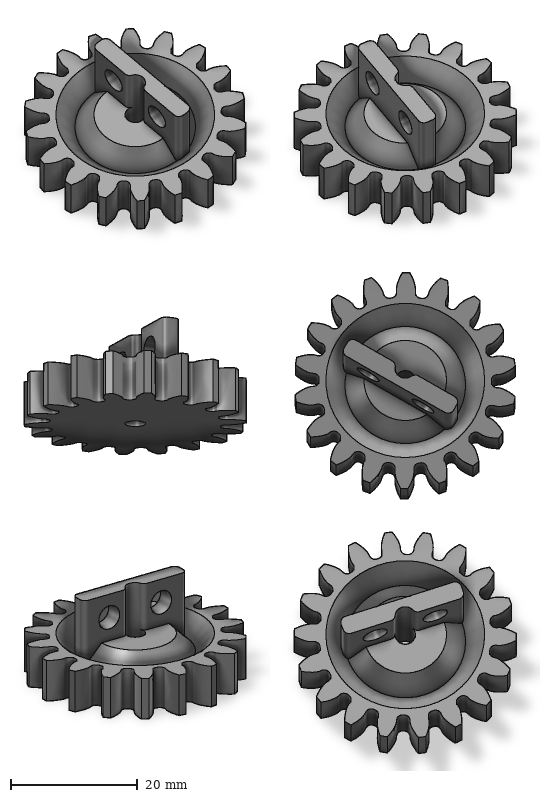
import cadquery as cq
import math

module = 1.75
tooth_count = 18
pressure_angle = math.radians(20)
gear_height = 7.0

pitch_radius = module * tooth_count / 2
addendum = module
dedendum = 1.25 * module
tip_radius = pitch_radius + addendum
root_radius = pitch_radius - dedendum
base_radius = pitch_radius * math.cos(pressure_angle)
root_fillet = 0.95
flank_points = 8

groove_outer_radius = 25.0 / 2
groove_inner_radius = 13.0 / 2
groove_bottom_radius = (groove_outer_radius + groove_inner_radius) / 2
groove_depth = 3.0

plate_length = 20.0
plate_thickness = 3.0
plate_fillet = 1.0
total_height = 15.0

bore_diameter = 3.2
plate_hole_diameter = 4.0
plate_hole_spacing = 10.0
plate_hole_height = (gear_height + total_height) / 2


def polar(radius, angle):
    return (radius * math.cos(angle), radius * math.sin(angle))


def involute(angle):
    return math.tan(angle) - angle


def tooth_half_angle(radius):
    """Half of the angle one tooth covers at a radius on its involute flank."""
    flank_angle = math.acos(min(1.0, base_radius / radius))
    return math.pi / (2 * tooth_count) + involute(pressure_angle) - involute(flank_angle)


def gear_outline():
    """Closed gear profile, tooth by tooth; the first tooth points along +X."""
    pitch_angle = 2 * math.pi / tooth_count
    base_angle = tooth_half_angle(base_radius)
    tip_angle = tooth_half_angle(tip_radius)

    fillet_center_radius = root_radius + root_fillet
    fillet_span = math.asin(root_fillet / fillet_center_radius)
    fillet_angle = base_angle + fillet_span
    foot_radius = math.sqrt(fillet_center_radius**2 - root_fillet**2)
    turn = (math.pi / 2 - fillet_span) / 2
    mid_distance = fillet_center_radius - root_fillet * math.cos(turn)
    mid_offset = root_fillet * math.sin(turn)
    fillet_mid_radius = math.hypot(mid_distance, mid_offset)
    fillet_mid_angle = fillet_angle - math.atan2(mid_offset, mid_distance)

    radius_step = (tip_radius - base_radius) / (flank_points - 1)
    flank_radii = [base_radius + i * radius_step for i in range(flank_points)]

    outline = cq.Workplane("XY").moveTo(*polar(root_radius, -fillet_angle))
    for tooth in range(tooth_count):
        middle = tooth * pitch_angle
        rising = [polar(r, middle - tooth_half_angle(r)) for r in flank_radii]
        falling = [polar(r, middle + tooth_half_angle(r)) for r in reversed(flank_radii)]
        outline = (
            outline.threePointArc(
                polar(fillet_mid_radius, middle - fillet_mid_angle),
                polar(foot_radius, middle - base_angle),
            )
            .lineTo(*rising[0])
            .spline(rising[1:], includeCurrent=True)
            .threePointArc(polar(tip_radius, middle), polar(tip_radius, middle + tip_angle))
            .spline(falling[1:], includeCurrent=True)
            .lineTo(*polar(foot_radius, middle + base_angle))
            .threePointArc(
                polar(fillet_mid_radius, middle + fillet_mid_angle),
                polar(root_radius, middle + fillet_angle),
            )
            .threePointArc(
                polar(root_radius, middle + pitch_angle / 2),
                polar(root_radius, middle + pitch_angle - fillet_angle),
            )
        )
    return outline.close()


def ring_groove():
    return (
        cq.Workplane("XZ")
        .moveTo(groove_inner_radius, gear_height)
        .lineTo(groove_bottom_radius, gear_height - groove_depth)
        .lineTo(groove_outer_radius, gear_height)
        .close()
        .revolve(360, (0, 0, 0), (0, 1, 0))
    )


def upright_plate():
    """Plate standing on the groove bottom, with rounded upright edges and a bore notch."""
    bottom = gear_height - groove_depth
    height = total_height - bottom
    plate = (
        cq.Workplane("XY", origin=(0, 0, bottom))
        .center(0, plate_thickness / 2)
        .rect(plate_length, plate_thickness)
        .extrude(height)
    )
    notch = cq.Workplane("XY", origin=(0, 0, bottom)).circle(bore_diameter / 2).extrude(height)
    plate = plate.cut(notch).edges("|Z").fillet(plate_fillet)

    holes = (
        cq.Workplane("XZ")
        .pushPoints([(side * plate_hole_spacing / 2, plate_hole_height) for side in (-1, 1)])
        .circle(plate_hole_diameter / 2)
        .extrude(-plate_thickness)
    )
    return plate.cut(holes)


gear = gear_outline().extrude(gear_height).cut(ring_groove())
bore = cq.Workplane("XY").circle(bore_diameter / 2).extrude(gear_height)

result = gear.union(upright_plate()).cut(bore)